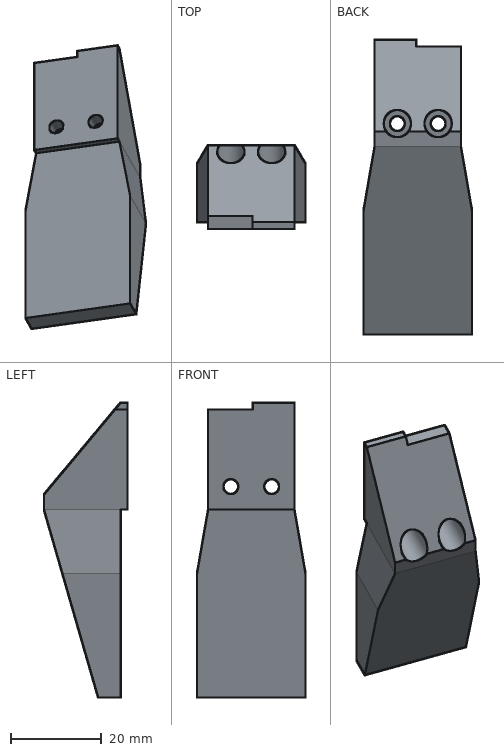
import cadquery as cq

total_height = 65.0
blade_height = 41.4
taper_start = 27.3
head_back_top = 44.75

blade_width = 24.0
head_width = 19.1

head_depth = 18.5
blade_front = 1.5
blade_tip_thickness = 5.05
top_edge_thickness = 1.6

step_drop = 1.5
step_edge_x = 0.3

hole_diameter = 3.2
counterbore_diameter = 6.0
hole_spacing = 9.0
hole_height = 46.5
front_wall = 4.0


def extrude_side_profile(points, width):
    """Extrude a closed (Y, Z) outline symmetrically about X = 0."""
    return cq.Workplane("YZ").polyline(points).close().extrude(width / 2, both=True)


def make_blade():
    """Wedge that thins towards the bottom and narrows towards the head."""
    wedge = extrude_side_profile(
        [
            (blade_front, 0),
            (blade_front + blade_tip_thickness, 0),
            (head_depth, blade_height),
            (blade_front, blade_height),
        ],
        blade_width,
    )
    front_outline = (
        cq.Workplane("XZ")
        .polyline(
            [
                (-blade_width / 2, 0),
                (blade_width / 2, 0),
                (blade_width / 2, taper_start),
                (head_width / 2, blade_height),
                (-head_width / 2, blade_height),
                (-blade_width / 2, taper_start),
            ]
        )
        .close()
        .extrude(-head_depth)
    )
    return wedge.intersect(front_outline)


def make_head():
    """Mounting head with a sloping back and a stepped top edge."""
    head = extrude_side_profile(
        [
            (0, blade_height),
            (head_depth, blade_height),
            (head_depth, head_back_top),
            (top_edge_thickness, total_height),
            (0, total_height),
        ],
        head_width,
    )
    step = cq.Workplane("XY").box(
        head_width / 2 + step_edge_x, head_depth, step_drop, centered=False
    ).translate((-head_width / 2, 0, total_height - step_drop))
    return head.cut(step)


def make_hole_cutter(x):
    """Through hole with a counterbore opening out of the back of the head."""
    hole = (
        cq.Workplane("XZ")
        .center(x, hole_height)
        .circle(hole_diameter / 2)
        .extrude(-head_depth)
    )
    counterbore = (
        cq.Workplane("XZ", origin=(0, front_wall, 0))
        .center(x, hole_height)
        .circle(counterbore_diameter / 2)
        .extrude(front_wall - head_depth)
    )
    return hole.union(counterbore)


result = make_blade().union(make_head())
for hole_x in (-hole_spacing / 2, hole_spacing / 2):
    result = result.cut(make_hole_cutter(hole_x))